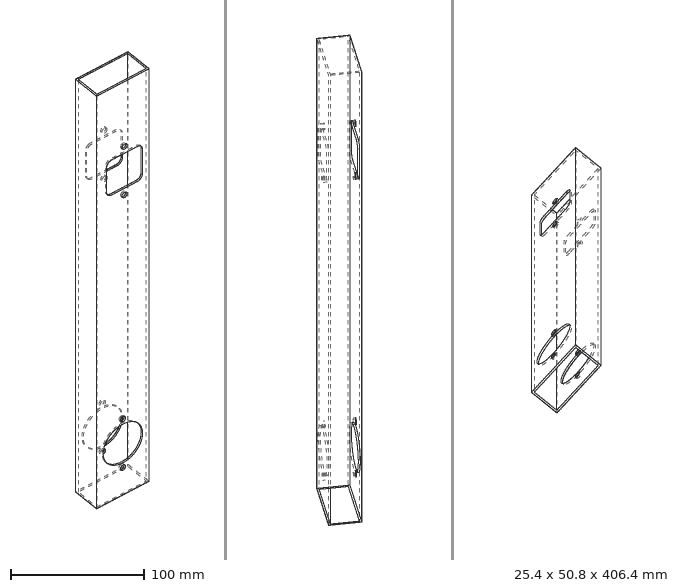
import cadquery as cq

INCH = 25.4
TUBE_X = 1.0 * INCH
TUBE_Y = 2.0 * INCH
TUBE_Z = 16.0 * INCH
WALL = INCH / 16

SCREW_DIAMETER = 5.0
SCREW_SPACING = 47.6

SQUARE_SIZE = 34.5
SQUARE_CORNER_RADIUS = 5.0
SQUARE_Y = 1.6
SQUARE_Z = 115.4

ROUND_DIAMETER = 1.5 * INCH
ROUND_Y = 0.0
ROUND_Z = -6.0 * INCH


def make_tube():
    outside = cq.Workplane("XY").box(TUBE_X, TUBE_Y, TUBE_Z)
    bore = cq.Workplane("XY").box(TUBE_X - 2 * WALL, TUBE_Y - 2 * WALL, TUBE_Z)
    return outside.cut(bore)


def wall_plane(y, z):
    """YZ sketch plane in the middle of the tube, centred on an opening."""
    return cq.Workplane("YZ").center(y, z)


def through_cut(sketch):
    """Extend a sketch across X so that it pierces both wide walls."""
    return sketch.extrude(TUBE_X, both=True)


def screw_holes(y, z):
    offsets = [(0, SCREW_SPACING / 2), (0, -SCREW_SPACING / 2)]
    return through_cut(wall_plane(y, z).pushPoints(offsets).circle(SCREW_DIAMETER / 2))


def square_opening():
    block = through_cut(wall_plane(SQUARE_Y, SQUARE_Z).rect(SQUARE_SIZE, SQUARE_SIZE))
    return block.edges("|X").fillet(SQUARE_CORNER_RADIUS)


def round_opening():
    return through_cut(wall_plane(ROUND_Y, ROUND_Z).circle(ROUND_DIAMETER / 2))


result = (
    make_tube()
    .cut(square_opening())
    .cut(screw_holes(SQUARE_Y, SQUARE_Z))
    .cut(round_opening())
    .cut(screw_holes(ROUND_Y, ROUND_Z))
)